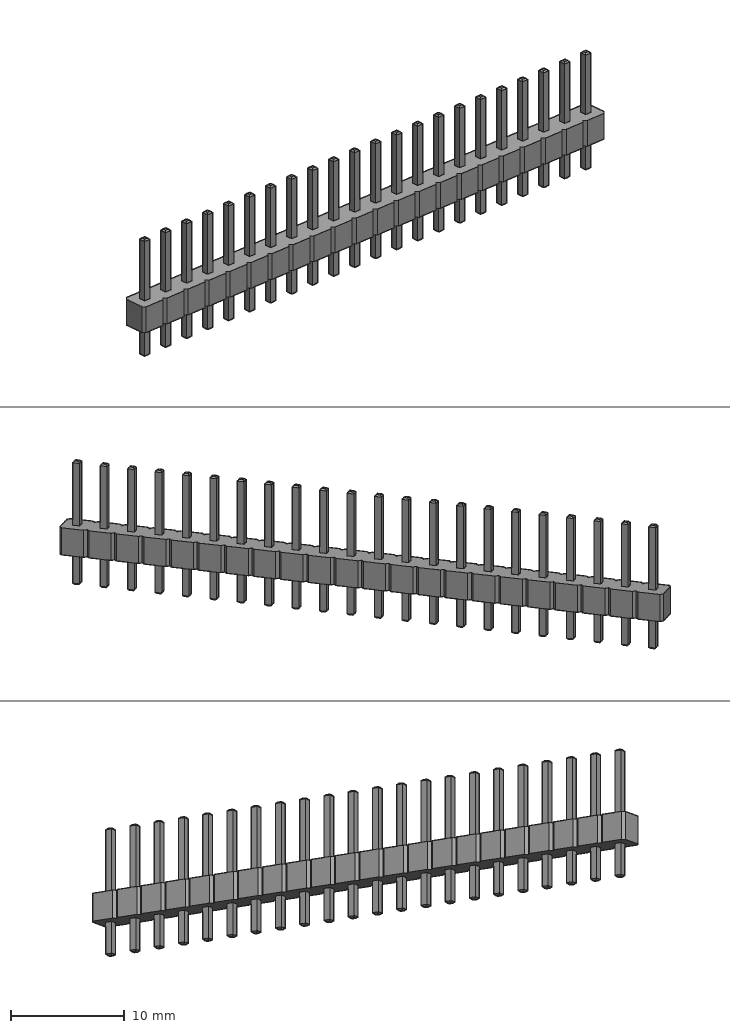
import cadquery as cq

PIN_COUNT = 22
STRIP_LENGTH = 55.9
PITCH = STRIP_LENGTH / PIN_COUNT

BLOCK_SIZE = PITCH
BLOCK_CHAMFER = 0.1 * PITCH

PIN_WIDTH = PITCH / 4
PIN_TIP_CHAMFER = 0.14
PIN_ABOVE_STRIP = 6.0
PIN_BELOW_STRIP = 3.0
PIN_LENGTH = PIN_BELOW_STRIP + BLOCK_SIZE + PIN_ABOVE_STRIP

pin_positions = [(0, (i - (PIN_COUNT - 1) / 2) * PITCH) for i in range(PIN_COUNT)]


def make_block():
    """One plastic block; neighbouring chamfers form the V-shaped break notches."""
    block = cq.Workplane("XY").box(BLOCK_SIZE, PITCH, BLOCK_SIZE, centered=(True, True, False))
    return block.edges("|Z").chamfer(BLOCK_CHAMFER)


def make_pin():
    """One square pin running through the strip, with both tips tapered."""
    pin = (
        cq.Workplane("XY")
        .workplane(offset=-PIN_BELOW_STRIP)
        .box(PIN_WIDTH, PIN_WIDTH, PIN_LENGTH, centered=(True, True, False))
    )
    return pin.faces("<Z or >Z").edges().chamfer(PIN_TIP_CHAMFER)


def repeat_along_strip(item):
    """A copy of the item at every pin position."""
    shape = item.val()
    return cq.Workplane("XY").pushPoints(pin_positions).eachpoint(
        lambda location: shape.moved(location), combine=False
    ).combine()


strip = repeat_along_strip(make_block())
pins = repeat_along_strip(make_pin())
result = strip.union(pins).clean()